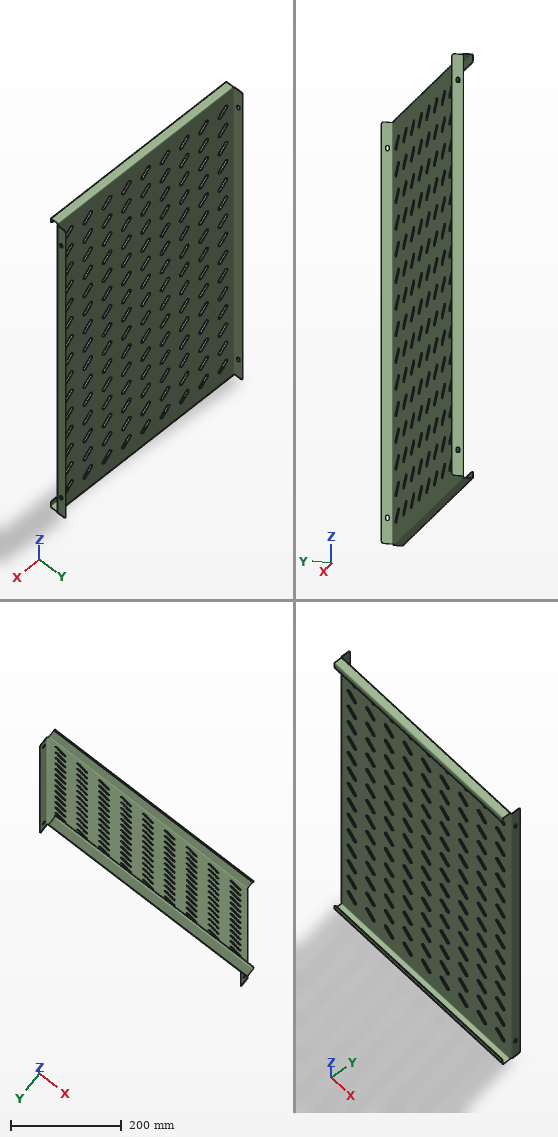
import cadquery as cq
width = 460.0
depth = 41.0
height = 797.0

sheet = 1.5
bend_outer = 3.0
bend_inner = bend_outer - sheet

side_flange = 22.5
lip = 15.0
corner_radius = 5.0

flat_width = width - 2 * bend_outer
flat_height = height - 2 * bend_outer

web_front = 0.0
web_back = sheet
back_edge = side_flange
front_edge = side_flange - depth

slot_columns = 9
slot_rows = 15
slot_pitch = 50.0
slot_length = 30.5
slot_width = 8.5
slot_angle = -45.0

mount_length = 10.0
mount_width = 6.5
upright = 90.0
mount_from_edge = 11.5
mount_spacing = 694.0


def box_between(x_range, y_range, z_range):
    """Box spanning the given (low, high) ranges."""
    size = [high - low for low, high in (x_range, y_range, z_range)]
    corner = cq.Vector(x_range[0], y_range[0], z_range[0])
    return cq.Workplane("XY").box(*size, centered=False).translate(corner)


def side_channel():
    """Web with both side flanges, bent to +Y."""
    outer = box_between(
        (-width / 2, width / 2), (web_front, back_edge), (-flat_height / 2, flat_height / 2)
    ).edges("|Z and <Y").fillet(bend_outer)
    inner = box_between(
        (-width / 2 + sheet, width / 2 - sheet),
        (web_back, back_edge + sheet),
        (-flat_height / 2, flat_height / 2),
    ).edges("|Z and <Y").fillet(bend_inner)
    channel = outer.cut(inner)
    return channel.edges("|X and >Y").fillet(corner_radius)


def lipped_channel():
    """Web with the top and bottom flanges, bent to -Y and ending in inward lips."""
    outer = box_between(
        (-flat_width / 2, flat_width / 2), (front_edge, web_back), (-height / 2, height / 2)
    ).edges("|X").fillet(bend_outer)
    inner = box_between(
        (-flat_width / 2, flat_width / 2),
        (front_edge + sheet, web_front),
        (-height / 2 + sheet, height / 2 - sheet),
    ).edges("|X").fillet(bend_inner)
    lip_gap = height / 2 - lip
    opening = box_between(
        (-flat_width / 2, flat_width / 2), (front_edge, front_edge + sheet), (-lip_gap, lip_gap)
    )
    channel = outer.cut(inner).cut(opening)
    lip_corners = cq.selectors.BoxSelector(
        (-width, front_edge - sheet, -lip_gap - sheet),
        (width, front_edge + 2 * sheet, lip_gap + sheet),
    )
    return channel.edges("|Y").edges(lip_corners).fillet(corner_radius)


def web_slots():
    """Cutters for the grid of slanted slots."""
    return (
        cq.Workplane("XZ", origin=(0, web_back, 0))
        .rarray(slot_pitch, slot_pitch, slot_columns, slot_rows)
        .slot2D(slot_length, slot_width, slot_angle)
        .extrude(sheet)
    )


def mounting_slots():
    """Cutters for the upright slots, running through both side flanges."""
    return (
        cq.Workplane("YZ", origin=(0, back_edge - mount_from_edge, 0))
        .pushPoints([(0, -mount_spacing / 2), (0, mount_spacing / 2)])
        .slot2D(mount_length, mount_width, upright)
        .extrude(width / 2, both=True)
    )


result = side_channel().union(lipped_channel()).cut(web_slots()).cut(mounting_slots())